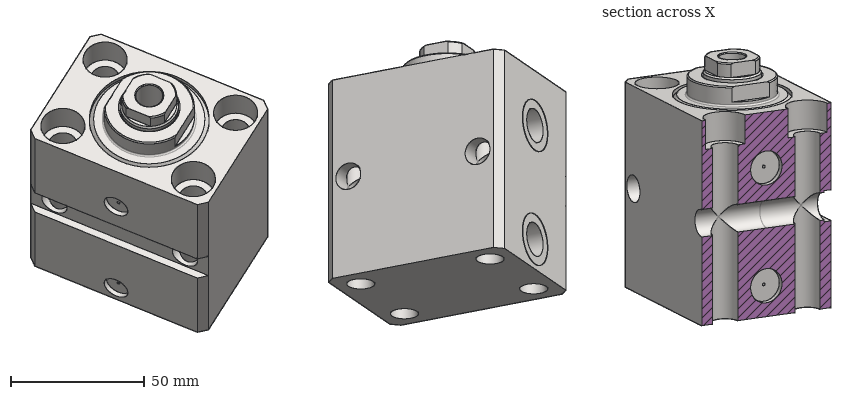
import cadquery as cq
import math

length_x = 75.0
width_y = 55.0
overall_height = 95.0
block_height = 80.0
corner_x = 3.2
corner_y = 2.9

bolt_hole_dia = 10.5
bolt_spacing_x = 55.0
bolt_spacing_y = 35.0
counterbore_dia = 16.5
counterbore_depth = 11.3

key_slot_width = 12.0
key_slot_depth = 2.9
key_slot_z = block_height / 2

port_dia = 13.1
port_depth = 12.0
spotface_dia = 20.0
spotface_depth = 0.2
port_heights = (12.2, 58.0)

plug_dia = 10.0
plug_depth = 2.0
plug_heights = (7.1, 58.0)
plug_vent_heights = (7.7, 58.0)

vent_dia = 1.0
vent_depth = 4.75

gland_dia = 45.0
gland_depth = 19.0
gland_chamfer = 1.6
collar_dia = 34.0
collar_height = 7.7
collar_chamfer = 0.5
collar_fillet = 0.7
collar_flats_width = 30.0
collar_flats_start = 1.7
bore_chamfer = 0.6

rod_dia = 22.0
shoulder_height = 9.4
shoulder_chamfer = 0.7
neck_dia = rod_dia - 2 * shoulder_chamfer
neck_flats_width = 18.0
neck_chamfer = 0.5
tap_hole_dia = 10.2
tap_hole_depth = 15.2
tap_hole_chamfer = 0.4
drill_point_angle = 118.0

gland_bottom_z = block_height - gland_depth


def cylinder(dia, bottom_z, top_z):
    """Vertical cylinder on the main axis."""
    return cq.Workplane("XY").workplane(offset=bottom_z).circle(dia / 2).extrude(top_z - bottom_z)


def side_hole(face, z, dia, start_depth, depth):
    """Cutter for a horizontal hole, starting start_depth below the -X or -Y face."""
    if face == "-X":
        origin = cq.Vector(start_depth - length_x / 2, 0, z)
        direction = cq.Vector(1, 0, 0)
    else:
        origin = cq.Vector(0, start_depth - width_y / 2, z)
        direction = cq.Vector(0, 1, 0)
    return cq.Workplane(cq.Solid.makeCylinder(dia / 2, depth, origin, direction))


def block_blank():
    """Rectangular block with its four upright edges chamfered."""
    half_x = length_x / 2
    half_y = width_y / 2
    outline = [
        (half_x - corner_x, -half_y),
        (half_x, corner_y - half_y),
        (half_x, half_y - corner_y),
        (half_x - corner_x, half_y),
        (corner_x - half_x, half_y),
        (-half_x, half_y - corner_y),
        (-half_x, corner_y - half_y),
        (corner_x - half_x, -half_y),
    ]
    return cq.Workplane("XY").polyline(outline).close().extrude(block_height)


def cut_bolt_holes(block):
    """Four counterbored holes down from the top, and two cross holes through the key slot."""
    block = (
        block.faces(">Z").workplane(origin=(0, 0, block_height))
        .rarray(bolt_spacing_x, bolt_spacing_y, 2, 2)
        .cboreHole(bolt_hole_dia, counterbore_dia, counterbore_depth)
    )
    cross_holes = (
        cq.Workplane("XZ", origin=(0, 0, key_slot_z))
        .rarray(bolt_spacing_x, 0.95, 2, 1)
        .circle(bolt_hole_dia / 2)
        .extrude(width_y / 2, both=True)
    )
    return block.cut(cross_holes)


def cut_key_slot(block):
    """Key slot across the whole -Y face."""
    slot_center_y = (key_slot_depth - width_y) / 2
    slot = cq.Workplane("XY").box(length_x, key_slot_depth, key_slot_width)
    return block.cut(slot.translate((0, slot_center_y, key_slot_z)))


def cut_ports(block):
    """Ports with a shallow spotface and a small vent on the -X face."""
    for z in port_heights:
        block = block.cut(side_hole("-X", z, spotface_dia, 0, spotface_depth))
        block = block.cut(side_hole("-X", z, port_dia, 0, port_depth))
        block = block.cut(side_hole("-X", z, vent_dia, port_depth, vent_depth))
    return block


def cut_plug_recesses(block):
    """Flat round recesses with a small vent on the -Y face."""
    for recess_z, vent_z in zip(plug_heights, plug_vent_heights):
        block = block.cut(side_hole("-Y", recess_z, plug_dia, 0, plug_depth))
        block = block.cut(side_hole("-Y", vent_z, vent_dia, plug_depth, vent_depth))
    return block


def make_block():
    block = cut_bolt_holes(block_blank())
    block = cut_key_slot(block)
    block = cut_ports(block)
    block = cut_plug_recesses(block)
    return block.cut(cylinder(gland_dia, gland_bottom_z, block_height))


def gland_body():
    """Flush chamfered insert, its raised collar and its bore, as one turned profile."""
    collar_top_z = block_height + collar_height
    gland_radius = gland_dia / 2
    collar_radius = collar_dia / 2
    bore_radius = rod_dia / 2
    fillet_mid_offset = collar_fillet * (1 - math.sqrt(0.5))
    return (
        cq.Workplane("XZ")
        .moveTo(bore_radius, gland_bottom_z)
        .lineTo(gland_radius, gland_bottom_z)
        .lineTo(gland_radius, block_height - gland_chamfer)
        .lineTo(gland_radius - gland_chamfer, block_height)
        .lineTo(collar_radius + collar_fillet, block_height)
        .threePointArc(
            (collar_radius + fillet_mid_offset, block_height + fillet_mid_offset),
            (collar_radius, block_height + collar_fillet),
        )
        .lineTo(collar_radius, collar_top_z - collar_chamfer)
        .lineTo(collar_radius - collar_chamfer, collar_top_z)
        .lineTo(bore_radius + bore_chamfer, collar_top_z)
        .lineTo(bore_radius, collar_top_z - bore_chamfer)
        .close()
        .revolve(360, (0, 0, 0), (0, 1, 0))
    )


def make_gland():
    """Turned gland with two wrench flats on its collar."""
    flats_bottom_z = block_height + collar_flats_start
    outside_flats = cylinder(collar_dia, flats_bottom_z, block_height + collar_height)
    between_flats = cq.Workplane("XY").rect(collar_flats_width, collar_dia).extrude(overall_height)
    return gland_body().cut(outside_flats.cut(between_flats))


def make_rod():
    """Round rod whose square neck has rounded corners and a blind drilled hole."""
    shoulder_z = block_height + shoulder_height
    shaft = cylinder(rod_dia, gland_bottom_z, shoulder_z).faces(">Z").chamfer(shoulder_chamfer)
    neck = cylinder(neck_dia, shoulder_z, overall_height).faces(">Z").chamfer(neck_chamfer)
    square = cq.Workplane("XY").rect(neck_flats_width, neck_flats_width).extrude(overall_height)
    rod = shaft.union(neck.intersect(square))

    hole_radius = tap_hole_dia / 2
    mouth_radius = hole_radius + tap_hole_chamfer
    point_length = hole_radius / math.tan(math.radians(drill_point_angle / 2))
    hole_floor_z = overall_height - tap_hole_depth
    hole = (
        cq.Workplane("XZ")
        .moveTo(0, overall_height)
        .lineTo(mouth_radius, overall_height)
        .lineTo(hole_radius, overall_height - tap_hole_chamfer)
        .lineTo(hole_radius, hole_floor_z)
        .lineTo(0, hole_floor_z - point_length)
        .close()
        .revolve(360, (0, 0, 0), (0, 1, 0))
    )
    return rod.cut(hole)


block = make_block()
gland = make_gland()
rod = make_rod()

result = cq.Compound.makeCompound([body.solids().val() for body in (block, gland, rod)])